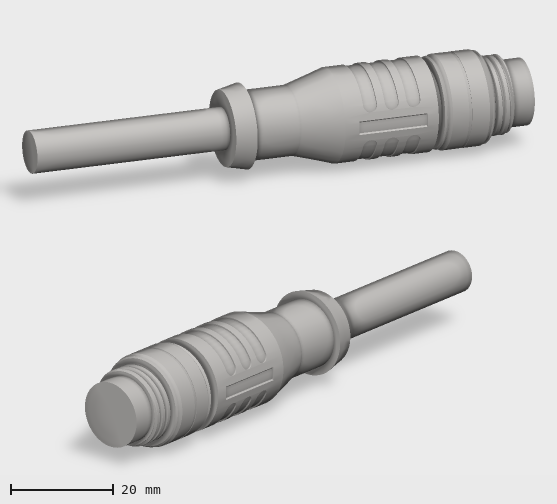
import cadquery as cq

TOTAL_LENGTH = 102.5

TIP_RADIUS = 6.7
THREAD_START = -4.5
THREAD_RADIUS = 7.9
THREAD_DEPTH = 0.5
THREAD_PITCH = 1.5
THREAD_CREST_FLAT = 0.7
THREAD_ROOT_FLAT = 0.3
CORE_OVERLAP = 0.1
THREAD_LEAD_IN = 0.3

BODY_RADIUS = 9.48
NUT_FRONT = -9.0
NUT_BACK = -19.5
FRONT_RIM_LENGTH = 1.3
FRONT_RIM_ROOT_INSET = 0.5
BACK_RIM_LENGTH = 1.4
BACK_RIM_ROOT_INSET = 0.8
RIM_ROOT_RADIUS = 8.9
RIM_CREST_RADIUS = 9.2
RIM_END_RADIUS = 8.9
RIM_CREST_INSET = 0.3
BAND_FRONT = -14.0
BAND_WIDTH = 0.6
BAND_DEPTH = 0.1

NECK_RADIUS = 7.0
BODY_FRONT = -21.0
TAPER_START = -40.4
TAPER_END = -48.8
FLANGE_FRONT = -58.3
FLANGE_BACK = -62.4
FLANGE_FRONT_RADIUS = 8.56
FLANGE_BACK_RADIUS = 7.64
CABLE_RADIUS = 4.25

GRIP_COUNT = 3
GRIP_CENTRE = -30.4
GRIP_PITCH = 4.5
GRIP_WIDTH = 2.9
GRIP_DEPTH = 0.3
GRIP_END_HEIGHT = 2.9

PANEL_LENGTH = 14.1
PANEL_MOUTH_HEIGHT = 3.0
PANEL_FLOOR_HEIGHT = 2.4
PANEL_DEPTH = 0.3

CUT_MARGIN = 2.0


def turned_body():
    """Revolve the stepped outline, without the threaded collar around the tip."""
    band_radius = BODY_RADIUS - BAND_DEPTH
    band_back = BAND_FRONT - BAND_WIDTH
    outline = [
        (0, 0),
        (TIP_RADIUS, 0),
        (TIP_RADIUS, NUT_FRONT),
        (RIM_END_RADIUS, NUT_FRONT),
        (RIM_CREST_RADIUS, NUT_FRONT - RIM_CREST_INSET),
        (RIM_ROOT_RADIUS, NUT_FRONT - FRONT_RIM_ROOT_INSET),
        (BODY_RADIUS, NUT_FRONT - FRONT_RIM_LENGTH),
        (BODY_RADIUS, BAND_FRONT),
        (band_radius, BAND_FRONT),
        (band_radius, band_back),
        (BODY_RADIUS, band_back),
        (BODY_RADIUS, NUT_BACK + BACK_RIM_LENGTH),
        (RIM_ROOT_RADIUS, NUT_BACK + BACK_RIM_ROOT_INSET),
        (RIM_CREST_RADIUS, NUT_BACK + RIM_CREST_INSET),
        (RIM_END_RADIUS, NUT_BACK),
        (NECK_RADIUS, NUT_BACK),
        (NECK_RADIUS, BODY_FRONT),
        (BODY_RADIUS, BODY_FRONT),
        (BODY_RADIUS, TAPER_START),
        (NECK_RADIUS, TAPER_END),
        (NECK_RADIUS, FLANGE_FRONT),
        (FLANGE_FRONT_RADIUS, FLANGE_FRONT),
        (FLANGE_BACK_RADIUS, FLANGE_BACK),
        (CABLE_RADIUS, FLANGE_BACK),
        (CABLE_RADIUS, -TOTAL_LENGTH),
        (0, -TOTAL_LENGTH),
    ]
    return cq.Workplane("XY").polyline(outline).close().revolve(360, (0, 0), (0, 1))


def threaded_collar():
    """Right-hand thread ridge on a round core, made along Z and then laid along Y."""
    length = THREAD_START - NUT_FRONT
    root_radius = THREAD_RADIUS - THREAD_DEPTH
    buried_radius = root_radius - CORE_OVERLAP
    root_half = (THREAD_PITCH - THREAD_ROOT_FLAT) / 2
    crest_half = THREAD_CREST_FLAT / 2
    buried_half = root_half + (root_half - crest_half) * CORE_OVERLAP / THREAD_DEPTH
    helix = cq.Wire.makeHelix(THREAD_PITCH, length + 2 * THREAD_PITCH, root_radius)
    ridge = (
        cq.Workplane("XZ")
        .moveTo(buried_radius, -buried_half)
        .lineTo(THREAD_RADIUS, -crest_half)
        .lineTo(THREAD_RADIUS, crest_half)
        .lineTo(buried_radius, buried_half)
        .close()
        .sweep(cq.Workplane(helix), isFrenet=True)
        .translate((0, 0, -THREAD_PITCH))
    )
    envelope_radius = THREAD_RADIUS + CUT_MARGIN
    envelope = (
        cq.Workplane("XY")
        .circle(envelope_radius)
        .extrude(length)
        .faces(">Z")
        .chamfer(CUT_MARGIN + THREAD_LEAD_IN)
    )
    core = cq.Workplane("XY").circle(root_radius).extrude(length)
    collar = core.union(ridge.intersect(envelope))
    return collar.rotate((0, 0, 0), (1, 0, 0), -90).translate((0, NUT_FRONT, 0))


def body_shell(depth):
    """Skin of the grip body, from the given depth out past its surface."""
    return (
        cq.Workplane("XZ", origin=(0, BODY_FRONT, 0))
        .circle(BODY_RADIUS + CUT_MARGIN)
        .circle(BODY_RADIUS - depth)
        .extrude(BODY_FRONT - TAPER_START)
    )


def finger_grooves():
    """Shallow round-ended grooves that wrap over the top and bottom of the body."""
    reach = BODY_RADIUS + CUT_MARGIN
    slot_length = 2 * reach
    slot_centre = GRIP_END_HEIGHT + slot_length / 2
    centres = []
    for index in range(GRIP_COUNT):
        y = GRIP_CENTRE + (index - (GRIP_COUNT - 1) / 2) * GRIP_PITCH
        centres += [(y, slot_centre), (y, -slot_centre)]
    slots = (
        cq.Workplane("YZ")
        .pushPoints(centres)
        .slot2D(slot_length, GRIP_WIDTH, 90)
        .extrude(reach, both=True)
    )
    return body_shell(GRIP_DEPTH).intersect(slots)


def side_panel(side):
    """Curved-floor recess with sloping long walls, on the side (+1 or -1) along X."""
    floor_x = BODY_RADIUS - PANEL_DEPTH
    floor_half = PANEL_FLOOR_HEIGHT / 2
    wall_slope = (PANEL_MOUTH_HEIGHT - PANEL_FLOOR_HEIGHT) / 2 / PANEL_DEPTH
    inner_x = floor_x - PANEL_DEPTH
    outer_x = BODY_RADIUS + PANEL_DEPTH
    inner_half = floor_half - wall_slope * (floor_x - inner_x)
    outer_half = floor_half + wall_slope * (outer_x - floor_x)
    wedge = (
        cq.Workplane("XZ", origin=(0, GRIP_CENTRE, 0))
        .moveTo(side * inner_x, -inner_half)
        .lineTo(side * outer_x, -outer_half)
        .lineTo(side * outer_x, outer_half)
        .lineTo(side * inner_x, inner_half)
        .close()
        .extrude(PANEL_LENGTH / 2, both=True)
    )
    return wedge.intersect(body_shell(PANEL_DEPTH))


connector = turned_body().union(threaded_collar()).cut(finger_grooves())
for x_side in (-1, 1):
    connector = connector.cut(side_panel(x_side))
result = connector.solids()